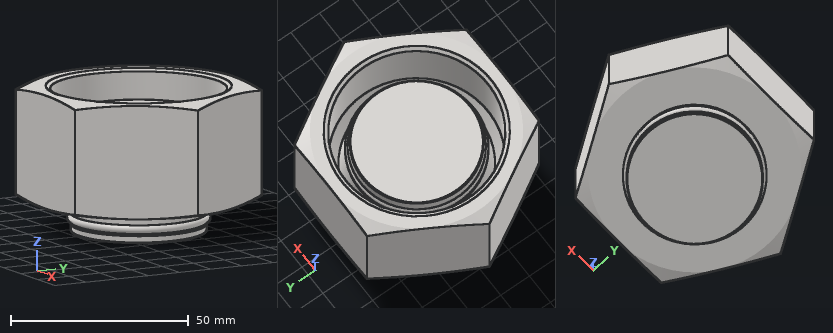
import cadquery as cq
import math

corner_width = 69.3
flat_radius = corner_width / 2 * math.cos(math.radians(30))
nut_height = 32.5
corner_chamfer_angle = 15.0
bore_radius = 49.8 / 2
bore_floor = 12.75
mouth_radius = 26.2
mouth_chamfer_angle = 30.0

stub_radius = 19.2
stub_length = 8.95
plug_top = 24.95
cone_top_radius = 18.85
cone_half_angle = 12.0
end_chamfer = 0.2

groove_radius = 36.0 / 2
groove_width = 2.9
stub_land = 2.2
cone_land = 2.9
ring_section_radius = 1.25
ring_outer_radius = 20.2

seat_bottom = bore_floor - (bore_radius - stub_radius)
cone_slope = math.tan(math.radians(cone_half_angle))
cone_bottom = (
    (cone_top_radius + plug_top * cone_slope - bore_radius + bore_floor) / (1 + cone_slope)
)
seat_outer_radius = bore_radius - (bore_floor - cone_bottom)
ring_center_radius = ring_outer_radius - ring_section_radius
ring_flat_half = math.sqrt(ring_section_radius**2 - (ring_center_radius - groove_radius) ** 2)
groove_bottoms = [
    -stub_length + stub_land,
    plug_top - cone_land - groove_width,
]

ring_centers = [
    groove_bottoms[0] + groove_width - ring_section_radius,
    groove_bottoms[1] + ring_section_radius,
]


def revolve(points):
    """Turn a closed (radius, height) outline around the Z axis."""
    return cq.Workplane("XZ").polyline(points).close().revolve(360, (0, 0), (0, 1))


def cylinder(radius, bottom, height):
    return cq.Workplane("XY").workplane(offset=bottom).circle(radius).extrude(height)


def make_nut():
    hexagon = cq.Workplane("XY").polygon(6, corner_width).extrude(nut_height)

    corner_radius = corner_width / 2
    corner_drop = (corner_radius - flat_radius) * math.tan(math.radians(corner_chamfer_angle))
    corner_trim = revolve([
        (0, 0),
        (flat_radius, 0),
        (corner_radius, corner_drop),
        (corner_radius, nut_height - corner_drop),
        (flat_radius, nut_height),
        (0, nut_height),
    ])

    mouth_depth = (mouth_radius - bore_radius) * math.tan(math.radians(mouth_chamfer_angle))
    opening = revolve([
        (0, 0),
        (stub_radius, 0),
        (stub_radius, seat_bottom),
        (bore_radius, bore_floor),
        (bore_radius, nut_height - mouth_depth),
        (mouth_radius, nut_height),
        (0, nut_height),
    ])
    return hexagon.intersect(corner_trim).cut(opening)


def make_plug():
    plug = revolve([
        (0, -stub_length),
        (stub_radius - end_chamfer, -stub_length),
        (stub_radius, -stub_length + end_chamfer),
        (stub_radius, seat_bottom),
        (seat_outer_radius, cone_bottom),
        (cone_top_radius + end_chamfer * cone_slope, plug_top - end_chamfer),
        (cone_top_radius - end_chamfer, plug_top),
        (0, plug_top),
    ])
    for bottom in groove_bottoms:
        groove = cylinder(seat_outer_radius, bottom, groove_width)
        groove = groove.cut(cylinder(groove_radius, bottom, groove_width))
        plug = plug.cut(groove)

    land_top = groove_bottoms[0]
    land_edge = revolve([
        (stub_radius - end_chamfer, land_top),
        (stub_radius, land_top),
        (stub_radius, land_top - end_chamfer),
    ])
    return plug.cut(land_edge)


def make_ring(center):
    """Round-section ring, flattened on its inside where it sits on the groove floor."""
    return (
        cq.Workplane("XZ")
        .moveTo(groove_radius, center - ring_flat_half)
        .threePointArc((ring_outer_radius, center), (groove_radius, center + ring_flat_half))
        .close()
        .revolve(360, (0, 0), (0, 1))
    )


nut = make_nut()
plug = make_plug()
rings = [make_ring(center) for center in ring_centers]

result = cq.Compound.makeCompound([nut.val(), plug.val(), *[ring.val() for ring in rings]])